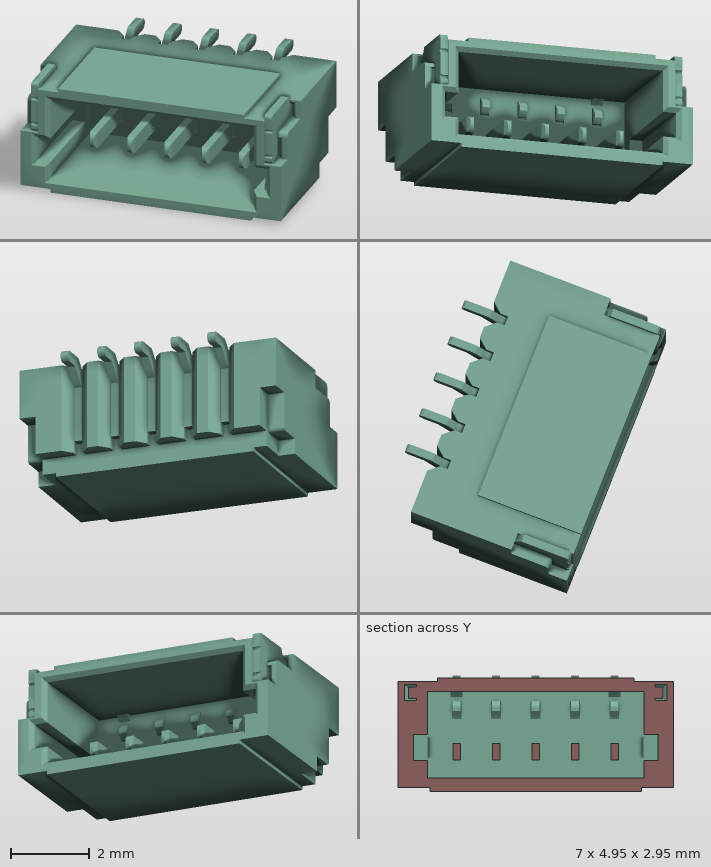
import cadquery as cq
import math


length = 7.0
half_length = length / 2
body_back = 4.24
base_z = 0.1
body_top = 2.8
under_cut_y = 3.77
under_cut_z = 0.505
top_plate_half = 2.5
top_plate_depth = 2.8
top_plate_z = 2.9
bottom_plate_half = 2.695

cavity_half = 2.74
cavity_floor = 0.36
cavity_ceiling = 2.535
cavity_depth = 3.2
key_half = 3.095
key_depth = 2.8
key_bottom = 0.8
key_top = 1.45
lead_in = 0.11

wedge_width = 0.3
wedge_drop = 0.14
wedge_run = 0.17

recess_depth = 0.44
recess_top = 1.51
recess_heel_y = 3.66
recess_toe_y = 2.94
recess_radius = 0.085

clip_inner = 3.04
clip_thickness = 0.2
clip_top = 2.95
clip_front = 0.05
clip_arm_bottom = 2.36
clip_ramp_start = 1.34
clip_ramp_end = 1.5
clip_ramp_z = 2.66
clip_tail_y = 1.645
clip_fillet = 0.1
groove_radius = 0.05
groove_centers = (2.51, 1.82)
pocket_back = 1.51
pocket_ledge = 2.325
pocket_leg_back = 0.505
pocket_floor = 1.6
pocket_radius = 0.14
mouth_outer = 3.37
mouth_top = 2.75
mouth_chamfer = 0.11

terminal_count = 5
pitch = 1.0
terminal_width = 0.2
slot_width = 0.245
notch_width = 0.7
notch_depth = 0.265
leg_front = 3.795
leg_back = 4.0
leg_round = 0.09
shoulder_back = 3.93
shoulder_z = 2.71
lower_bend_radius = 0.11
upper_bend_radius = 0.13
tail_end = 4.95
tail_top = 2.95
tail_thickness = 0.29
tail_bend_y = 4.43
leg_slope_end_z = 2.24
window_depth = 0.07

pin_bottom = 0.805
pin_top = 1.225
pin_front = 1.19
pin_nose_radius = 0.195
pin_taper_length = 0.155
pin_tip_width = 0.09
pin_window_bottom = 0.77

barb_bottom = 1.9
barb_top = 2.3
barb_nose = 0.14
barb_window_bottom = 1.84

terminal_xs = [(i - (terminal_count - 1) / 2) * pitch for i in range(terminal_count)]


def block(x_span, y_span, z_span):
    """Box given by its limits along each axis."""
    size = [span[1] - span[0] for span in (x_span, y_span, z_span)]
    corner = (x_span[0], y_span[0], z_span[0])
    return cq.Workplane("XY").box(*size, centered=False).translate(corner)


def side_profile(x_start):
    """Workplane whose local axes are Y and Z and which extrudes toward +X."""
    return cq.Workplane("YZ", origin=(x_start, 0, 0))


def both_sides(shape):
    return shape.union(shape.mirror("YZ"))


def flared_mouth(half, bottom, top):
    """Lead-in that narrows from the mating face to an opening of the given size."""
    return (
        cq.Workplane("XZ")
        .center(0, (bottom + top) / 2)
        .rect(2 * (half + lead_in), top - bottom + 2 * lead_in)
        .workplane(offset=-lead_in)
        .rect(2 * half, top - bottom)
        .loft(ruled=True)
    )


def make_housing():
    body = block((-half_length, half_length), (0, body_back), (base_z, body_top))
    body = body.cut(
        block((-half_length, half_length), (under_cut_y, body_back), (base_z, under_cut_z))
    )
    top_plate = block(
        (-top_plate_half, top_plate_half), (0, top_plate_depth), (body_top, top_plate_z)
    )
    bottom_plate = block((-bottom_plate_half, bottom_plate_half), (0, under_cut_y), (0, base_z))
    return body.union(top_plate).union(bottom_plate)


def make_cavity():
    """Main opening and the polarising slots at its sides, each with a 45 degree lead-in."""
    cavity = None
    openings = (
        (cavity_half, cavity_depth, cavity_floor, cavity_ceiling),
        (key_half, key_depth, key_bottom, key_top),
    )
    for half, depth, bottom, top in openings:
        bore = block((-half, half), (0, depth), (bottom, top))
        bore = bore.union(flared_mouth(half, bottom, top))
        cavity = bore if cavity is None else cavity.union(bore)
    return cavity


def make_wedge(x_center):
    return (
        side_profile(x_center - wedge_width / 2)
        .moveTo(cavity_depth, cavity_ceiling)
        .lineTo(cavity_depth - wedge_run, cavity_ceiling)
        .lineTo(cavity_depth, cavity_ceiling - wedge_drop)
        .close()
        .extrude(wedge_width)
    )


def make_corner_recesses():
    recess = (
        side_profile(-half_length)
        .moveTo(body_back, recess_top)
        .lineTo(recess_heel_y, recess_top)
        .lineTo(recess_heel_y, under_cut_z + recess_radius)
        .radiusArc((recess_heel_y - recess_radius, under_cut_z), recess_radius)
        .lineTo(recess_toe_y, under_cut_z)
        .lineTo(recess_toe_y, base_z)
        .lineTo(body_back, base_z)
        .close()
        .extrude(recess_depth)
    )
    return both_sides(recess)


def make_mouth(y_face, z_bottom, z_top, roof_drop):
    """Flared entry in the wall at y_face, with its roof falling by roof_drop toward the rear."""
    y_end = y_face + mouth_chamfer
    plan = (
        cq.Workplane("XY", origin=(0, 0, z_bottom))
        .moveTo(-mouth_outer, y_face)
        .lineTo(-mouth_outer + mouth_chamfer, y_end)
        .lineTo(-clip_inner, y_end)
        .lineTo(-clip_inner, y_face)
        .close()
        .extrude(z_top - z_bottom)
    )
    roof = (
        side_profile(-mouth_outer)
        .moveTo(y_face, z_bottom)
        .lineTo(y_face, z_top)
        .lineTo(y_end, z_top - roof_drop)
        .lineTo(y_end, z_bottom)
        .close()
        .extrude(mouth_outer - clip_inner)
    )
    return plan.intersect(roof)


def make_clip_pockets():
    """L-shaped pockets open to the outside, the front and the top."""
    pocket = (
        side_profile(-half_length)
        .moveTo(0, pocket_floor)
        .lineTo(pocket_leg_back, pocket_floor)
        .lineTo(pocket_leg_back, pocket_ledge - pocket_radius)
        .radiusArc((pocket_leg_back + pocket_radius, pocket_ledge), pocket_radius)
        .lineTo(pocket_back, pocket_ledge)
        .lineTo(pocket_back, body_top)
        .lineTo(0, body_top)
        .close()
        .extrude(half_length - clip_inner)
    )
    arm_mouth = make_mouth(pocket_back, pocket_ledge, mouth_top, mouth_chamfer)
    leg_mouth = make_mouth(pocket_leg_back, pocket_floor, pocket_ledge - pocket_radius, 0)
    return both_sides(pocket.union(arm_mouth).union(leg_mouth))


def make_clips():
    """L-shaped sheet clips, ramped at the rear and grooved along the front edge."""
    clip = (
        side_profile(-clip_inner - clip_thickness)
        .moveTo(clip_front + clip_fillet, clip_top)
        .lineTo(clip_ramp_start, clip_top)
        .lineTo(clip_ramp_end, clip_ramp_z)
        .lineTo(clip_tail_y, clip_ramp_z)
        .lineTo(clip_tail_y, clip_arm_bottom)
        .lineTo(pocket_leg_back + pocket_radius, clip_arm_bottom)
        .radiusArc((pocket_leg_back, clip_arm_bottom - pocket_radius), -pocket_radius)
        .lineTo(pocket_leg_back, pocket_floor)
        .lineTo(clip_front + clip_fillet, pocket_floor)
        .radiusArc((clip_front, pocket_floor + clip_fillet), clip_fillet)
        .lineTo(clip_front, clip_top - clip_fillet)
        .radiusArc((clip_front + clip_fillet, clip_top), clip_fillet)
        .close()
        .extrude(clip_thickness)
    )
    grooves = (
        side_profile(-clip_inner - clip_thickness)
        .pushPoints([(clip_front, z) for z in groove_centers])
        .circle(groove_radius)
        .extrude(clip_thickness)
    )
    return both_sides(clip.cut(grooves))


def make_terminal_slot():
    """V notch in the rear wall running into a parallel slot for the terminal leg."""
    notch_end = body_back - notch_depth
    return (
        cq.Workplane("XY", origin=(0, 0, base_z))
        .moveTo(-notch_width / 2, body_back)
        .lineTo(-slot_width / 2, notch_end)
        .lineTo(-slot_width / 2, under_cut_y)
        .lineTo(slot_width / 2, under_cut_y)
        .lineTo(slot_width / 2, notch_end)
        .lineTo(notch_width / 2, body_back)
        .close()
        .extrude(body_top - base_z)
    )


def make_terminal_windows():
    """Shallow clearance around the pin and the barb where they leave the cavity wall."""
    x_span = (-slot_width / 2, slot_width / 2)
    y_span = (cavity_depth, cavity_depth + window_depth)
    pin_window = block(x_span, y_span, (pin_window_bottom, pin_top))
    return pin_window.union(block(x_span, y_span, (barb_window_bottom, barb_top)))


def make_tail():
    """Upright leg that turns over a shoulder and climbs at 45 degrees to the solder tail."""
    half_turn = math.sin(math.pi / 4)
    lower_run = lower_bend_radius * half_turn
    lower_rise = lower_bend_radius - lower_run
    upper_run = upper_bend_radius * half_turn
    upper_rise = upper_bend_radius - upper_run
    slope_start = (shoulder_back + lower_run, shoulder_z + lower_rise)
    slope_rise = tail_top - upper_rise - slope_start[1]
    slope_end = (slope_start[0] + slope_rise, slope_start[1] + slope_rise)
    tail_bottom = tail_top - tail_thickness
    tail_round = tail_thickness / 2
    return (
        side_profile(-terminal_width / 2)
        .moveTo(leg_front, pin_bottom)
        .lineTo(leg_front, shoulder_z - leg_round)
        .radiusArc((leg_front + leg_round, shoulder_z), leg_round)
        .lineTo(shoulder_back, shoulder_z)
        .radiusArc(slope_start, -lower_bend_radius)
        .lineTo(*slope_end)
        .radiusArc((slope_end[0] + upper_run, tail_top), upper_bend_radius)
        .lineTo(tail_end - tail_round, tail_top)
        .threePointArc((tail_end, tail_top - tail_round), (tail_end - tail_round, tail_bottom))
        .lineTo(tail_bend_y, tail_bottom)
        .lineTo(leg_back, leg_slope_end_z)
        .lineTo(leg_back, pin_bottom)
        .close()
        .extrude(terminal_width)
    )


def make_pin():
    nose_back = pin_front + pin_nose_radius
    profile = (
        side_profile(-terminal_width / 2)
        .moveTo(leg_back, pin_bottom)
        .lineTo(nose_back, pin_bottom)
        .radiusArc((pin_front, pin_bottom + pin_nose_radius), pin_nose_radius)
        .lineTo(pin_front, pin_top - pin_nose_radius)
        .radiusArc((nose_back, pin_top), pin_nose_radius)
        .lineTo(leg_back, pin_top)
        .close()
        .extrude(terminal_width)
    )
    taper_end = pin_front + pin_taper_length
    plan = (
        cq.Workplane("XY", origin=(0, 0, pin_bottom))
        .moveTo(-pin_tip_width / 2, pin_front)
        .lineTo(-terminal_width / 2, taper_end)
        .lineTo(-terminal_width / 2, leg_back)
        .lineTo(terminal_width / 2, leg_back)
        .lineTo(terminal_width / 2, taper_end)
        .lineTo(pin_tip_width / 2, pin_front)
        .close()
        .extrude(pin_top - pin_bottom)
    )
    return profile.intersect(plan)


def make_barb():
    nose_front = cavity_depth - barb_nose
    return (
        side_profile(-terminal_width / 2)
        .moveTo(leg_back, barb_bottom)
        .lineTo(cavity_depth, barb_bottom)
        .lineTo(nose_front, barb_bottom + barb_nose)
        .lineTo(nose_front, barb_top - barb_nose)
        .lineTo(cavity_depth, barb_top)
        .lineTo(leg_back, barb_top)
        .close()
        .extrude(terminal_width)
    )


terminal_cut = make_terminal_slot().union(make_terminal_windows())
terminal = make_tail().union(make_pin()).union(make_barb())

result = make_housing().cut(make_cavity())
for wedge_x in (terminal_xs[0], terminal_xs[-1]):
    result = result.union(make_wedge(wedge_x))
result = result.cut(make_corner_recesses()).cut(make_clip_pockets()).union(make_clips())

for terminal_x in terminal_xs:
    result = result.cut(terminal_cut.translate((terminal_x, 0, 0)))
    result = result.union(terminal.translate((terminal_x, 0, 0)))